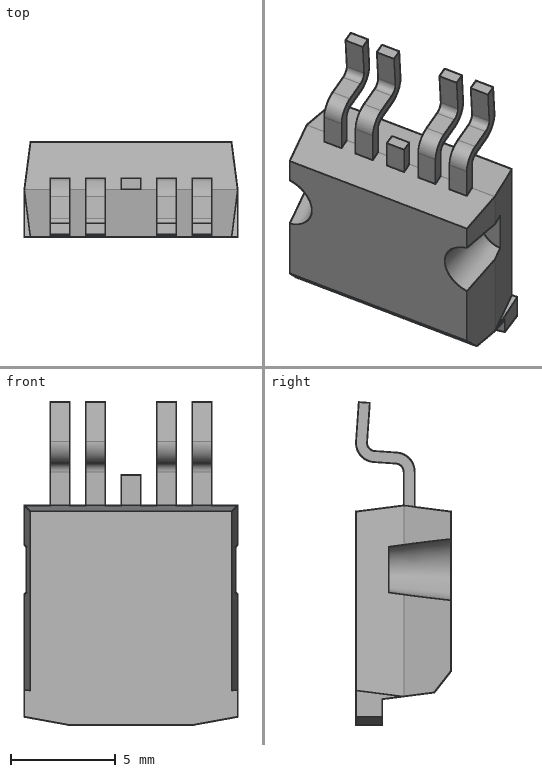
import cadquery as cq
import math

width = 10.2
depth = 4.55
height = 15.43
parting_y = depth / 2
body_bottom = 1.36
body_top = 10.5
draft_inset = 0.3
draft_slope = draft_inset / parting_y
bevel_start_z = 2.58
bevel_end_y = 3.75

tab_thickness = 1.27
tab_corner_run = 2.11
tab_corner_rise = 0.39

notch_z = 7.42
notch_floor_y = 1.57
notch_floor_radius = 1.1
notch_back_radius = 1.5

lead_width = 0.94
lead_thickness = 0.54
lead_pitch = 1.7
lead_root_z = 9.26
stub_top = 11.95
bend_start_z = 12.1
bend_inner_radius = 0.39
foot_lean = math.radians(4)


def yz_prism(points, prism_width):
    """Extrude a (Y, Z) outline symmetrically about X = 0."""
    return cq.Workplane("YZ").polyline(points).close().extrude(prism_width / 2, both=True)


def body_half(toward_y):
    """One drafted half; toward_y is -1 for the front half, +1 for the back."""
    draft_angle = math.degrees(math.atan(draft_slope))
    plane = cq.Plane((0, parting_y, (body_bottom + body_top) / 2), xDir=(1, 0, 0), normal=(0, toward_y, 0))
    return cq.Workplane(plane).rect(width, body_top - body_bottom).extrude(depth / 2, taper=draft_angle)


def make_body():
    bevel_end_z = body_bottom + draft_slope * (bevel_end_y - parting_y)
    bevel = yz_prism([(depth, bevel_start_z), (bevel_end_y, bevel_end_z), (bevel_end_y, 0), (depth, 0)], width)
    return body_half(-1).union(body_half(1)).cut(bevel)


def make_tab():
    """Full-width tab whose ledge tapers up to a point at the parting plane."""
    back_z = body_bottom - draft_slope * (parting_y - tab_thickness)
    profile = [
        (0, 0),
        (tab_thickness, 0),
        (tab_thickness, back_z),
        (parting_y, body_bottom),
        (0, body_bottom + draft_inset),
    ]
    tab = yz_prism(profile, width)
    for side in (-1, 1):
        edge_x = side * width / 2
        inner_x = edge_x - side * tab_corner_run
        corner = (
            cq.Workplane("XZ")
            .polyline([(edge_x, 0), (inner_x, 0), (edge_x, tab_corner_rise)])
            .close()
            .extrude(-tab_thickness)
        )
        tab = tab.cut(corner)
    return tab


def make_notch(side):
    """Cone frustum along Y, centred on the widest line of a side wall."""
    cone = cq.Solid.makeCone(
        notch_floor_radius,
        notch_back_radius,
        depth - notch_floor_y,
        pnt=cq.Vector(side * width / 2, notch_floor_y, notch_z),
        dir=cq.Vector(0, 1, 0),
    )
    return cq.Workplane(cone)


def lead_section(x):
    """Rectangular lead cross-section just behind the parting plane."""
    origin = (x, parting_y + lead_thickness / 2, lead_root_z)
    return cq.Workplane("XY", origin=origin).rect(lead_width, lead_thickness)


def make_lead(x):
    """Lead swept along an S-shaped centreline that just reaches Y = 0."""
    radius = bend_inner_radius + lead_thickness / 2
    root_y = parting_y + lead_thickness / 2
    turn = math.pi / 2 - foot_lean

    def first_bend(angle):
        return (root_y - radius * (1 - math.cos(angle)), bend_start_z + radius * math.sin(angle))

    arm_start = first_bend(turn)
    bend_depth = radius * (1 - math.cos(turn))
    arm_length = (parting_y - 2 * bend_depth) / math.sin(turn)
    arm_end = (
        arm_start[0] - arm_length * math.sin(turn),
        arm_start[1] + arm_length * math.cos(turn),
    )
    center_y = arm_end[0] + radius * math.cos(turn)
    center_z = arm_end[1] + radius * math.sin(turn)

    def second_bend(angle):
        return (center_y - radius * math.cos(angle), center_z - radius * math.sin(angle))

    foot_start = second_bend(-foot_lean)
    tip_z = height - lead_thickness / 2 * math.sin(foot_lean)
    tip = (foot_start[0] + (tip_z - foot_start[1]) * math.tan(foot_lean), tip_z)
    path = (
        cq.Workplane("YZ", origin=(x, 0, 0))
        .moveTo(root_y, lead_root_z)
        .lineTo(root_y, bend_start_z)
        .threePointArc(first_bend(turn / 2), arm_start)
        .lineTo(*arm_end)
        .threePointArc(second_bend((turn - foot_lean) / 2), foot_start)
        .lineTo(*tip)
    )
    return lead_section(x).sweep(path)


def make_stub():
    """Short cropped centre lead."""
    return lead_section(0).extrude(stub_top - lead_root_z)


result = make_body().union(make_tab())
for side in (-1, 1):
    result = result.cut(make_notch(side))
for position in (-2, -1, 1, 2):
    result = result.union(make_lead(position * lead_pitch))
result = result.union(make_stub())